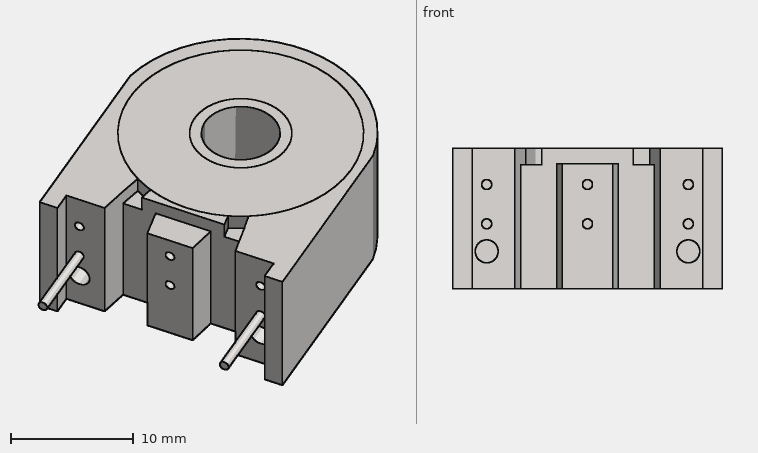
import cadquery as cq
import math


total_length = 31.03
width = 21.95
height = 11.42
back_radius = 11.17
side_tab_end_y = -14.75
side_tab_width = 1.6
terminal_face_y = -13.05
web_face_y = -10.6

opening_half_width = 5.43
opening_angle = 11.0
block_half_width = 2.48
block_angle = 10.0
block_top = height - 1.25

notch_inner_half_width = 3.72
notch_inner_angle = block_angle
notch_outer_angle = 12.5
notch_depth = 1.33

coil_x = 0.12
coil_y = -0.15
coil_outer_radius = 10.0
coil_inner_radius = 4.15
bore_radius = 3.2
floor_thickness = coil_inner_radius - bore_radius

pin_diameter = 0.8
pin_end_y = back_radius - total_length
terminal_x = 8.2
pin_row_z = 5.28
upper_row_z = 8.47
large_hole_diameter = 1.85
large_hole_z = 3.05


def flank_x(web_half_width, angle, y):
    """Half width at y of a shape web_half_width wide at the web face and narrowing toward +Y."""
    return web_half_width + (web_face_y - y) * math.tan(math.radians(angle))


def cylinder_along_y(diameter, x, z, start_y, end_y):
    """Round bar running from start_y toward -Y down to end_y."""
    plane = cq.Plane(origin=(x, start_y, z), xDir=(1, 0, 0), normal=(0, -1, 0))
    return cq.Workplane(plane).circle(diameter / 2).extrude(start_y - end_y)


def upright_cylinder(radius, bottom, top):
    """Vertical cylinder on the coil axis."""
    base = cq.Workplane("XY", origin=(coil_x, coil_y, bottom))
    return base.circle(radius).extrude(top - bottom)


def make_shell():
    """Round-backed outer shape with side tabs and towers either side of a tapered opening."""
    half_width = width / 2
    tab_inner_x = half_width - side_tab_width
    shoulder_y = math.sqrt(back_radius**2 - half_width**2)
    opening_mouth_x = flank_x(opening_half_width, opening_angle, terminal_face_y)
    return (
        cq.Workplane("XY")
        .moveTo(-half_width, shoulder_y)
        .threePointArc((0, back_radius), (half_width, shoulder_y))
        .lineTo(half_width, side_tab_end_y)
        .lineTo(tab_inner_x, side_tab_end_y)
        .lineTo(tab_inner_x, terminal_face_y)
        .lineTo(opening_mouth_x, terminal_face_y)
        .lineTo(opening_half_width, web_face_y)
        .lineTo(-opening_half_width, web_face_y)
        .lineTo(-opening_mouth_x, terminal_face_y)
        .lineTo(-tab_inner_x, terminal_face_y)
        .lineTo(-tab_inner_x, side_tab_end_y)
        .lineTo(-half_width, side_tab_end_y)
        .close()
        .extrude(height)
    )


def make_center_block():
    """Tapered block standing out from the web, lower than the housing."""
    tip_half_width = flank_x(block_half_width, -block_angle, terminal_face_y)
    outline = [
        (-block_half_width, web_face_y),
        (-tip_half_width, terminal_face_y),
        (tip_half_width, terminal_face_y),
        (block_half_width, web_face_y),
    ]
    return cq.Workplane("XY").polyline(outline).close().extrude(block_top)


def make_notch(side):
    """Cutter for one notch, from the web face into the coil recess; side is -1 or 1."""
    back_y = coil_y - math.sqrt(coil_outer_radius**2 - opening_half_width**2)
    outline = [
        (side * notch_inner_half_width, web_face_y),
        (side * opening_half_width, web_face_y),
        (side * flank_x(opening_half_width, notch_outer_angle, back_y), back_y),
        (side * flank_x(notch_inner_half_width, notch_inner_angle, back_y), back_y),
    ]
    floor = cq.Workplane("XY", origin=(0, 0, height - notch_depth))
    return floor.polyline(outline).close().extrude(notch_depth)


def make_terminal_hole(diameter, x, z):
    """Cutter for a blind hole, as deep as the center block stands out from the web."""
    return cylinder_along_y(diameter, x, z, web_face_y, terminal_face_y)


def make_housing():
    """Shell with the coil recess, hollow core, notches, terminal holes and moulded-in pins."""
    housing = make_shell().union(make_center_block())

    recess = upright_cylinder(coil_outer_radius, floor_thickness, height)
    for side in (-1, 1):
        recess = recess.union(make_notch(side))
    housing = housing.cut(recess)
    housing = housing.union(upright_cylinder(coil_inner_radius, 0, height))
    housing = housing.cut(upright_cylinder(bore_radius, 0, height))

    for x in (-terminal_x, 0, terminal_x):
        housing = housing.cut(make_terminal_hole(pin_diameter, x, upper_row_z))
    housing = housing.cut(make_terminal_hole(pin_diameter, 0, pin_row_z))
    for x in (-terminal_x, terminal_x):
        housing = housing.cut(make_terminal_hole(large_hole_diameter, x, large_hole_z))

    for x in (-terminal_x, terminal_x):
        housing = housing.union(cylinder_along_y(pin_diameter, x, pin_row_z, web_face_y, pin_end_y))
    return housing


def make_coil():
    """Ring filling the recess between the core and the outer wall, flush with the top."""
    ring = upright_cylinder(coil_outer_radius, floor_thickness, height)
    return ring.cut(upright_cylinder(coil_inner_radius, floor_thickness, height))


housing = make_housing()
coil = make_coil()

result = cq.Compound.makeCompound([housing.solids().val(), coil.solids().val()])